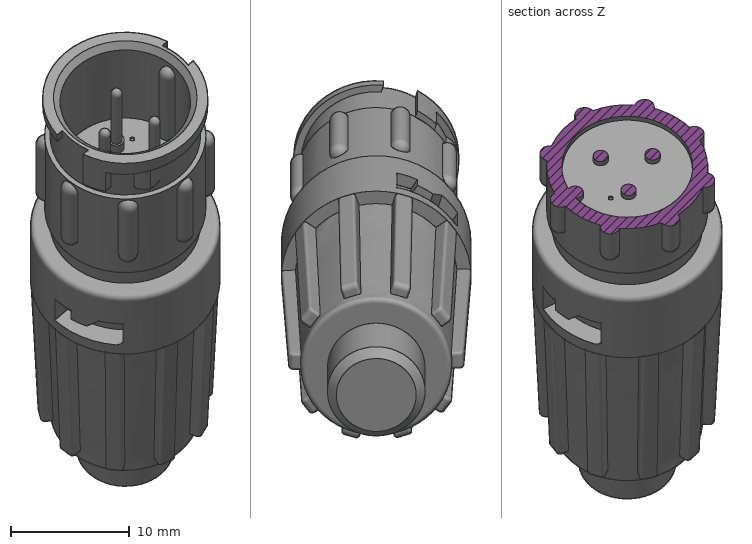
import cadquery as cq
import math

TOTAL_LENGTH = 49.32
STUB_RADIUS = 4.12
STUB_CHAMFER = 0.75
GRIP_BOTTOM_Z = 5.63
GRIP_BOTTOM_FILLET = 0.4
CAP_BOTTOM_Z = 24.2
CAP_TOP_Z = 31.88
CAP_RADIUS = 8.0
CAP_FILLET = 0.45
BARREL_BOTTOM_Z = 33.55
BARREL_TOP_Z = 44.15
BARREL_RADIUS = 6.8
BARREL_ROUND_HEIGHT = 0.69
CORE_RADIUS = 6.36
GRIP_TOP_RADIUS = 6.85
EMBED_RADIUS = 5.8

GRIP_RIB_COUNT = 10
GRIP_RIB_BOTTOM_Z = 6.88
GRIP_RIB_BOTTOM_RADIUS = 7.38
GRIP_RIB_TOP_RADIUS = 7.98
GRIP_RIB_WIDTH = 1.5
GRIP_RIB_CREST_FILLET = 0.25
GRIP_RIB_END_FILLET = 0.5

BARREL_RIB_COUNT = 8
BARREL_RIB_RADIUS = 0.84
BARREL_RIB_REACH = 7.54
BARREL_RIB_LOW_Z = 36.67
BARREL_RIB_HIGH_Z = 43.15

COLLAR_RADIUS = 6.97
COLLAR_THIN = 0.88
COLLAR_THICK = 1.62
NOTCH_HALF_WIDTH = 1.5
STOP_DEPTH = 4.14
STOP_WIDTH = 1.9
DETENT_START = (4.82, -4.12)
DETENT_CREST = (5.5, -3.87)
DETENT_PEAK = (6.0, -3.33)
DETENT_END_Y = -2.0

SOCKET_RADIUS = 5.5
SOCKET_DEPTH = 10.0
SOCKET_CHAMFER = 0.55
CONTACT_COUNT = 3
CONTACT_CIRCLE_RADIUS = 2.53
CONTACT_RADIUS = 0.48
CONTACT_BASE_RADIUS = 0.65
CONTACT_BASE_HEIGHT = 1.0
CONTACT_TIP_Z = 47.2
KEY_RADIUS = 0.7
KEY_Y = 5.2
KEY_TIP_Z = 48.35
MARK_POSITION = (-1.8, 2.8)
MARK_RADIUS = 0.2
MARK_DEPTH = 0.2

SLOT_LEFT = -0.69
SLOT_RIGHT = 5.31
SLOT_END_SLANT = 15.0
SLOT_BOTTOM_Z = 25.42
SLOT_STEP_Z = 27.17
SLOT_TOP_Z = 28.36
SLOT_POCKET_RIGHT = 1.14
SLOT_RAMP_LEFT = 2.63
SLOT_RAMP_RIGHT = 3.57
SLOT_CORNER = 0.5
PIN_RADIUS = 0.8
PIN_Z = 27.5
PIN_RIDGE_Z = 27.3
PIN_RIDGE_REACH = 7.4
PIN_TOP_REACH = 6.9

SOCKET_FLOOR_Z = TOTAL_LENGTH - SOCKET_DEPTH


def both_sides(shape):
    """Return the shape together with its half-turn copy about Z."""
    return shape.union(shape.rotate((0, 0, 0), (0, 0, 1), 180))


def ring_of(shape, count):
    """Return count copies of the shape, evenly spaced about Z."""
    ring = shape
    for index in range(1, count):
        ring = ring.union(shape.rotate((0, 0, 0), (0, 0, 1), 360 * index / count))
    return ring


def annulus(outer_radius, inner_radius, bottom_z, height):
    """Plain ring about Z."""
    return (
        cq.Workplane("XY")
        .workplane(offset=bottom_z)
        .circle(outer_radius)
        .circle(inner_radius)
        .extrude(height)
    )


def domed_post(x, y, radius, bottom_z, tip_z):
    """Upright cylinder ending in a hemisphere."""
    straight_height = tip_z - radius - bottom_z
    post = cq.Workplane("XY", origin=(x, y, bottom_z)).circle(radius).extrude(straight_height)
    return post.union(cq.Workplane("XY", origin=(x, y, tip_z - radius)).sphere(radius))


def body():
    """Solid of revolution carrying every plain diameter."""
    arc_factor = 1 - math.sqrt(0.5)
    grip_inset = GRIP_BOTTOM_FILLET * arc_factor
    cap_inset = CAP_FILLET * arc_factor
    barrel_step = BARREL_RADIUS - CORE_RADIUS
    barrel_arc_middle = (
        BARREL_RADIUS - barrel_step * arc_factor,
        BARREL_BOTTOM_Z + BARREL_ROUND_HEIGHT * arc_factor,
    )
    return (
        cq.Workplane("XZ")
        .moveTo(0, 0)
        .lineTo(STUB_RADIUS - STUB_CHAMFER, 0)
        .lineTo(STUB_RADIUS, STUB_CHAMFER)
        .lineTo(STUB_RADIUS, GRIP_BOTTOM_Z)
        .lineTo(CORE_RADIUS - GRIP_BOTTOM_FILLET, GRIP_BOTTOM_Z)
        .threePointArc(
            (CORE_RADIUS - grip_inset, GRIP_BOTTOM_Z + grip_inset),
            (CORE_RADIUS, GRIP_BOTTOM_Z + GRIP_BOTTOM_FILLET),
        )
        .lineTo(GRIP_TOP_RADIUS, CAP_BOTTOM_Z)
        .lineTo(CAP_RADIUS, CAP_BOTTOM_Z)
        .lineTo(CAP_RADIUS, CAP_TOP_Z - CAP_FILLET)
        .threePointArc(
            (CAP_RADIUS - cap_inset, CAP_TOP_Z - cap_inset),
            (CAP_RADIUS - CAP_FILLET, CAP_TOP_Z),
        )
        .lineTo(CORE_RADIUS, CAP_TOP_Z)
        .lineTo(CORE_RADIUS, BARREL_BOTTOM_Z)
        .threePointArc(barrel_arc_middle, (BARREL_RADIUS, BARREL_BOTTOM_Z + BARREL_ROUND_HEIGHT))
        .lineTo(BARREL_RADIUS, BARREL_TOP_Z)
        .lineTo(CORE_RADIUS, BARREL_TOP_Z)
        .lineTo(CORE_RADIUS, TOTAL_LENGTH)
        .lineTo(0, TOTAL_LENGTH)
        .close()
        .revolve(360, (0, 0, 0), (0, 1, 0))
    )


def grip_ribs():
    """Straight-sided ribs with a sloping crest, rounded crest edges and a rounded lower end."""
    rib = (
        cq.Workplane("YZ")
        .polyline([
            (-EMBED_RADIUS, GRIP_RIB_BOTTOM_Z),
            (-GRIP_RIB_BOTTOM_RADIUS, GRIP_RIB_BOTTOM_Z),
            (-GRIP_RIB_TOP_RADIUS, CAP_BOTTOM_Z),
            (-EMBED_RADIUS, CAP_BOTTOM_Z),
        ])
        .close()
        .extrude(GRIP_RIB_WIDTH / 2, both=True)
    )
    rib = rib.faces("<Z").edges("<Y").fillet(GRIP_RIB_END_FILLET)
    rib = rib.faces(">X or <X").edges("not(>Z or <Z or >Y)").fillet(GRIP_RIB_CREST_FILLET)
    return ring_of(rib, GRIP_RIB_COUNT)


def barrel_ribs():
    """Upright half-round ribs with ball ends, sunk into the barrel wall."""
    axis_y = BARREL_RIB_RADIUS - BARREL_RIB_REACH
    rib = domed_post(0, axis_y, BARREL_RIB_RADIUS, BARREL_RIB_LOW_Z, BARREL_RIB_HIGH_Z + BARREL_RIB_RADIUS)
    rib = rib.union(cq.Workplane("XY", origin=(0, axis_y, BARREL_RIB_LOW_Z)).sphere(BARREL_RIB_RADIUS))
    return ring_of(rib, BARREL_RIB_COUNT)


def bayonet_collar():
    """Two half rims with sloping undersides, each with an end stop and a detent."""
    half_rim_outline = [
        (COLLAR_RADIUS, TOTAL_LENGTH),
        (-COLLAR_RADIUS, TOTAL_LENGTH),
        (-COLLAR_RADIUS, TOTAL_LENGTH - COLLAR_THICK),
        (COLLAR_RADIUS, TOTAL_LENGTH - COLLAR_THIN),
    ]
    half_rim = cq.Workplane("YZ").polyline(half_rim_outline).close().extrude(COLLAR_RADIUS)
    stop = cq.Workplane("XY").box(
        STOP_WIDTH, COLLAR_RADIUS, STOP_DEPTH, centered=False
    ).translate((NOTCH_HALF_WIDTH, -COLLAR_RADIUS, TOTAL_LENGTH - STOP_DEPTH))
    detent = (
        cq.Workplane("XY")
        .workplane(offset=TOTAL_LENGTH - STOP_DEPTH)
        .moveTo(*DETENT_START)
        .threePointArc(DETENT_CREST, DETENT_PEAK)
        .lineTo(DETENT_PEAK[0], DETENT_END_Y)
        .lineTo(DETENT_START[0], DETENT_END_Y)
        .close()
        .extrude(STOP_DEPTH)
    )
    notch = cq.Workplane("XY").box(
        2 * NOTCH_HALF_WIDTH, 2 * COLLAR_RADIUS, STOP_DEPTH
    ).translate((0, 0, TOTAL_LENGTH - STOP_DEPTH / 2))
    envelope = annulus(COLLAR_RADIUS, SOCKET_RADIUS + SOCKET_CHAMFER, TOTAL_LENGTH - STOP_DEPTH, STOP_DEPTH)
    return both_sides(half_rim.union(stop).union(detent)).cut(notch).intersect(envelope)


def socket():
    """Bore from the mating face with a chamfered mouth."""
    bore = cq.Workplane("XY").workplane(offset=SOCKET_FLOOR_Z).circle(SOCKET_RADIUS).extrude(SOCKET_DEPTH)
    mouth = (
        cq.Workplane("XY")
        .workplane(offset=TOTAL_LENGTH)
        .circle(SOCKET_RADIUS + SOCKET_CHAMFER)
        .extrude(-SOCKET_CHAMFER, taper=45)
    )
    return bore.union(mouth)


def contacts_and_key():
    """Stepped contact posts on a circle, and a longer keying post by the bore wall."""
    contact = domed_post(0, -CONTACT_CIRCLE_RADIUS, CONTACT_RADIUS, SOCKET_FLOOR_Z, CONTACT_TIP_Z)
    base = (
        cq.Workplane("XY", origin=(0, -CONTACT_CIRCLE_RADIUS, SOCKET_FLOOR_Z))
        .circle(CONTACT_BASE_RADIUS)
        .extrude(CONTACT_BASE_HEIGHT)
    )
    key = domed_post(0, KEY_Y, KEY_RADIUS, SOCKET_FLOOR_Z, KEY_TIP_Z)
    return ring_of(contact.union(base), CONTACT_COUNT).union(key)


def floor_mark():
    """Shallow round mark in the socket floor beside one contact."""
    return (
        cq.Workplane("XY")
        .workplane(offset=SOCKET_FLOOR_Z - MARK_DEPTH)
        .center(*MARK_POSITION)
        .circle(MARK_RADIUS)
        .extrude(MARK_DEPTH)
    )


def slanted_end_block(right_x):
    """Block from the slot's left wall to a slanted right wall that meets the cap surface at right_x."""
    inner_y = -CAP_RADIUS / 2
    outer_end_y = -math.sqrt(CAP_RADIUS**2 - right_x**2)
    slant_run = (outer_end_y - inner_y) * math.tan(math.radians(SLOT_END_SLANT))
    return (
        cq.Workplane("XY")
        .workplane(offset=SLOT_BOTTOM_Z)
        .polyline([
            (SLOT_LEFT, inner_y),
            (right_x + slant_run, inner_y),
            (right_x, outer_end_y),
            (right_x, -CAP_RADIUS),
            (SLOT_LEFT, -CAP_RADIUS),
        ])
        .close()
        .extrude(SLOT_TOP_Z - SLOT_BOTTOM_Z)
    )


def cap_slots():
    """Stepped slots through the cap wall, open down to the core."""
    arc_inset = SLOT_CORNER * (1 - math.sqrt(0.5))
    channel = (
        cq.Workplane("XZ")
        .moveTo(SLOT_LEFT, SLOT_BOTTOM_Z)
        .lineTo(SLOT_RIGHT - SLOT_CORNER, SLOT_BOTTOM_Z)
        .threePointArc(
            (SLOT_RIGHT - arc_inset, SLOT_BOTTOM_Z + arc_inset),
            (SLOT_RIGHT, SLOT_BOTTOM_Z + SLOT_CORNER),
        )
        .lineTo(SLOT_RIGHT, SLOT_TOP_Z)
        .lineTo(SLOT_RAMP_RIGHT, SLOT_TOP_Z)
        .lineTo(SLOT_RAMP_LEFT, SLOT_STEP_Z)
        .lineTo(SLOT_LEFT, SLOT_STEP_Z)
        .close()
        .extrude(CAP_RADIUS)
        .intersect(slanted_end_block(SLOT_RIGHT))
    )
    pocket = slanted_end_block(SLOT_POCKET_RIGHT)
    wall = annulus(CAP_RADIUS, CORE_RADIUS, CAP_BOTTOM_Z, CAP_TOP_Z - CAP_BOTTOM_Z)
    return both_sides(channel.union(pocket).intersect(wall))


def locking_pins():
    """Radial pins on the core whose tips are sloped to a ridge."""
    pin = cq.Workplane("XZ", origin=(0, 0, PIN_Z)).circle(PIN_RADIUS).extrude(CAP_RADIUS)
    tip = (
        cq.Workplane("YZ")
        .polyline([
            (-EMBED_RADIUS, PIN_Z - PIN_RADIUS),
            (-CORE_RADIUS, PIN_Z - PIN_RADIUS),
            (-PIN_RIDGE_REACH, PIN_RIDGE_Z),
            (-PIN_TOP_REACH, PIN_Z + PIN_RADIUS),
            (-EMBED_RADIUS, PIN_Z + PIN_RADIUS),
        ])
        .close()
        .extrude(PIN_RADIUS, both=True)
    )
    return both_sides(pin.intersect(tip))


result = body().cut(cap_slots()).union(locking_pins())
result = result.union(grip_ribs()).union(barrel_ribs()).union(bayonet_collar())
result = result.cut(socket()).union(contacts_and_key()).cut(floor_mark())